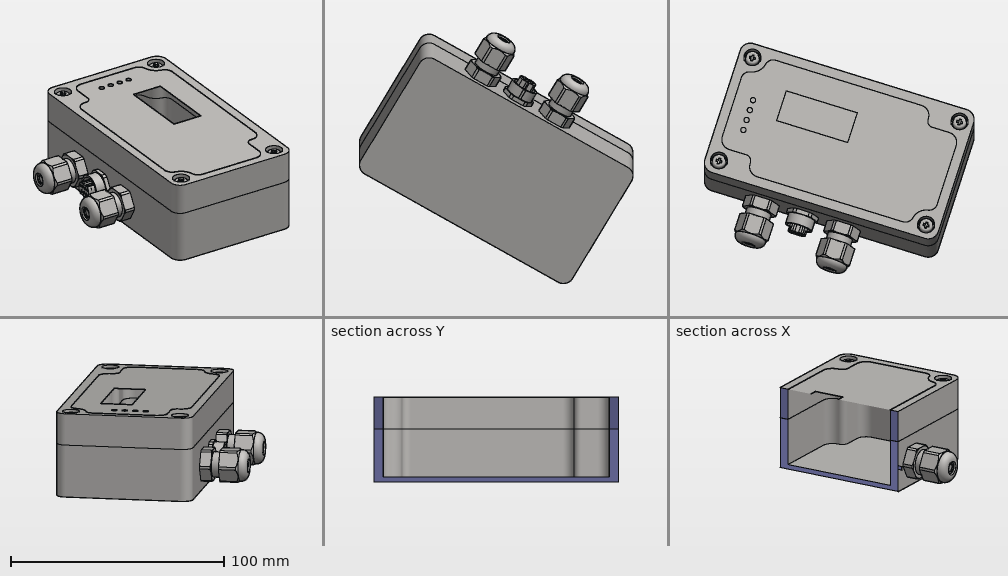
import cadquery as cq
import math

CASE_LENGTH = 115.0
CASE_WIDTH = 65.0
BASE_HEIGHT = 25.0
LID_HEIGHT = 15.0
CASE_HEIGHT = BASE_HEIGHT + LID_HEIGHT
CASE_CORNER_RADIUS = 5.0
FLOOR_THICKNESS = 2.5
WALL = 4.5
FRONT_Y = -CASE_WIDTH / 2

SCREW_X = 51.0
SCREW_Y = 26.0
SCREW_POINTS = [(sx * SCREW_X, sy * SCREW_Y) for sx in (-1, 1) for sy in (-1, 1)]
SCREW_BORE_DIAMETER = 8.0
SCREW_BORE_DEPTH = 5.0
SCREW_HEAD_DIAMETER = 6.5
SCREW_HEAD_HEIGHT = 4.0
SCREW_HEAD_ROUNDING = 1.0
SCREW_SHANK_DIAMETER = 4.0
SCREW_SHANK_LENGTH = 20.0
CROSS_LENGTH = 2.8
CROSS_WIDTH = 0.9
CROSS_DEPTH = 1.2
SCREW_SEAT_Z = CASE_HEIGHT - SCREW_BORE_DEPTH

LABEL_THICKNESS = 0.25
LABEL_HALF_LENGTH = CASE_LENGTH / 2 - WALL
LABEL_HALF_WIDTH = CASE_WIDTH / 2 - WALL
SCREW_CLEARANCE_RADIUS = 7.0
SCREW_SHOULDER_RADIUS = 4.0
NOTCH_X = 36.6
NOTCH_Y = 19.5
NOTCH_INNER_RADIUS = 3.0
NOTCH_OUTER_RADIUS = 5.0

WINDOW_LENGTH = 35.0
WINDOW_WIDTH = 15.0
WINDOW_CENTER = (-13.5, 8.0)
LED_DIAMETER = 2.5
LED_COUNT = 4
LED_PITCH = 5.0
LED_X = -44.5
LED_TOP_Y = 6.5

FITTING_Z = 12.0
CONNECTOR_X = -7.5
GLAND_SPACING = 40.0
GLAND_POSITIONS = [CONNECTOR_X + side * GLAND_SPACING / 2 for side in (-1, 1)]

GLAND_HEX_FLATS = 15.0
GLAND_HEX_BEVEL = 0.75
GLAND_BODY_END = 5.3
GLAND_BODY_TURNED_LENGTH = 0.4
GLAND_BODY_TURNED_DIAMETER = 15.5
GLAND_NECK_DIAMETER = 12.0
GLAND_NUT_START = 9.0
GLAND_LENGTH = 22.0
GLAND_DOME_RADIUS = 3.5
GLAND_NUT_END = 18.2
GLAND_CONE_START_DIAMETER = 17.0
GLAND_NUT_TURNED_LENGTH = 1.2
GLAND_NUT_TURNED_DIAMETER = 14.6
GLAND_MOUTH_DIAMETER = 6.5
GLAND_BORE_DIAMETER = 4.0
GLAND_SEAL_DIAMETER = 5.5
GLAND_MOUTH_DEPTH = 0.7
GLAND_BORE_DEPTH = 1.4

CONNECTOR_HEX_FLATS = 14.0
CONNECTOR_HEX_BEVEL = 1.0
CONNECTOR_HEX_LENGTH = 2.0
CONNECTOR_DIAMETER = 13.0
CONNECTOR_BODY_END = 7.0
CONNECTOR_KEY_WIDTH = 1.2
CONNECTOR_KEY_REACH = 6.9
SOCKET_DIAMETER = 11.0
SOCKET_DEPTH = 4.0
INSERT_DIAMETER = 8.5
INSERT_HEIGHT = 6.0
INSERT_END = 10.0
INSERT_RIB_DIAMETER = 1.2
INSERT_RIB_X = 1.5
INSERT_RIB_RISE = 0.4
INSERT_KEY_WIDTH = 1.5
INSERT_KEY_HEIGHT = 0.75
CONTACT_DIAMETER = 1.2
CONTACT_DEPTH = 2.0
CONTACT_PITCH = 2.0
CONTACT_ROW_Z = 1.35


def label_prism(bottom_z, height):
    """Upright prism with the label's outline, which is also the outline of the case's inside."""
    prism = (
        cq.Workplane(origin=(0, 0, bottom_z))
        .rect(2 * LABEL_HALF_LENGTH, 2 * LABEL_HALF_WIDTH)
        .extrude(height)
    )
    round_corners = [(-SCREW_X, SCREW_Y), (SCREW_X, -SCREW_Y)]
    clearance = (
        cq.Workplane(origin=(0, 0, bottom_z))
        .pushPoints(round_corners)
        .circle(SCREW_CLEARANCE_RADIUS)
        .extrude(height)
    )
    prism = prism.cut(clearance).edges("|Z").fillet(SCREW_SHOULDER_RADIUS)
    notch_size = (2 * (LABEL_HALF_LENGTH - NOTCH_X), 2 * (LABEL_HALF_WIDTH - NOTCH_Y))
    square_corners = [(side * LABEL_HALF_LENGTH, side * LABEL_HALF_WIDTH) for side in (-1, 1)]
    notches = (
        cq.Workplane(origin=(0, 0, bottom_z))
        .pushPoints(square_corners)
        .rect(*notch_size)
        .extrude(height)
    )
    prism = prism.cut(notches)
    middle_z = bottom_z + height / 2
    for side in (-1, 1):
        notch_edges = [
            (NOTCH_X, NOTCH_Y, NOTCH_INNER_RADIUS),
            (NOTCH_X, LABEL_HALF_WIDTH, NOTCH_OUTER_RADIUS),
            (LABEL_HALF_LENGTH, NOTCH_Y, NOTCH_OUTER_RADIUS),
        ]
        for x, y, radius in notch_edges:
            edge = cq.NearestToPointSelector((side * x, side * y, middle_z))
            prism = prism.edges("|Z").edges(edge).fillet(radius)
    return prism


def case_block(bottom_z, height):
    block = cq.Workplane(origin=(0, 0, bottom_z)).rect(CASE_LENGTH, CASE_WIDTH).extrude(height)
    return block.edges("|Z").fillet(CASE_CORNER_RADIUS)


def screw_cylinders(diameter, bottom_z, height):
    circles = cq.Workplane(origin=(0, 0, bottom_z)).pushPoints(SCREW_POINTS).circle(diameter / 2)
    return circles.extrude(height)


def screw_shanks():
    bottom_z = SCREW_SEAT_Z - SCREW_SHANK_LENGTH
    return screw_cylinders(SCREW_SHANK_DIAMETER, bottom_z, SCREW_SHANK_LENGTH)


def make_base():
    base = case_block(0, BASE_HEIGHT)
    base = base.cut(label_prism(FLOOR_THICKNESS, BASE_HEIGHT - FLOOR_THICKNESS))
    return base.cut(screw_shanks())


def make_lid():
    lid = case_block(BASE_HEIGHT, LID_HEIGHT)
    lid = lid.cut(label_prism(BASE_HEIGHT, LID_HEIGHT))
    lid = lid.cut(screw_cylinders(SCREW_BORE_DIAMETER, SCREW_SEAT_Z, SCREW_BORE_DEPTH))
    return lid.cut(screw_shanks())


def make_label():
    bottom_z = CASE_HEIGHT - LABEL_THICKNESS
    label = label_prism(bottom_z, LABEL_THICKNESS)
    window = (
        cq.Workplane(origin=(0, 0, bottom_z))
        .center(*WINDOW_CENTER)
        .rect(WINDOW_LENGTH, WINDOW_WIDTH)
        .extrude(LABEL_THICKNESS)
    )
    led_points = [(LED_X, LED_TOP_Y - i * LED_PITCH) for i in range(LED_COUNT)]
    led_holes = (
        cq.Workplane(origin=(0, 0, bottom_z))
        .pushPoints(led_points)
        .circle(LED_DIAMETER / 2)
        .extrude(LABEL_THICKNESS)
    )
    return label.cut(window).cut(led_holes)


def make_screw(x, y):
    head = (
        cq.Workplane(origin=(x, y, SCREW_SEAT_Z))
        .circle(SCREW_HEAD_DIAMETER / 2)
        .extrude(SCREW_HEAD_HEIGHT)
        .faces(">Z")
        .edges()
        .fillet(SCREW_HEAD_ROUNDING)
    )
    shank = (
        cq.Workplane(origin=(x, y, SCREW_SEAT_Z))
        .circle(SCREW_SHANK_DIAMETER / 2)
        .extrude(-SCREW_SHANK_LENGTH)
    )
    cross_plane = cq.Workplane(origin=(x, y, SCREW_SEAT_Z + SCREW_HEAD_HEIGHT - CROSS_DEPTH))
    slot_x = cross_plane.rect(CROSS_LENGTH, CROSS_WIDTH).extrude(CROSS_DEPTH)
    slot_y = cross_plane.rect(CROSS_WIDTH, CROSS_LENGTH).extrude(CROSS_DEPTH)
    return head.union(shank).cut(slot_x).cut(slot_y)


def fitting_plane(x, distance):
    """Sketch plane parallel to the front wall, facing outward, at a distance from the wall."""
    return cq.Workplane("XZ", origin=(x, FRONT_Y - distance, FITTING_Z))


def fitting_cylinder(x, diameter, start, end):
    return fitting_plane(x, start).circle(diameter / 2).extrude(end - start)


def fitting_hexagon(x, flats, bevel, start, end):
    """Hexagon with flats above and below and bevelled corners."""
    across_corners = flats / math.cos(math.pi / 6)
    hexagon = fitting_plane(x, start).polygon(6, across_corners).extrude(end - start)
    return hexagon.edges("|Y").chamfer(bevel)


def fitting_cone(x, start_diameter, end_diameter, start, end):
    cone = fitting_plane(x, start).circle(start_diameter / 2).workplane(offset=end - start)
    return cone.circle(end_diameter / 2).loft(ruled=True)


def turned_hexagon(x, start, end, turned_diameter, turned_length):
    """Gland hexagon whose outer end is turned down to a cone."""
    shoulder = end - turned_length
    straight = fitting_hexagon(x, GLAND_HEX_FLATS, GLAND_HEX_BEVEL, start, shoulder)
    tip = fitting_hexagon(x, GLAND_HEX_FLATS, GLAND_HEX_BEVEL, shoulder, end)
    cone = fitting_cone(x, GLAND_CONE_START_DIAMETER, turned_diameter, shoulder, end)
    return straight.union(tip.intersect(cone))


def make_gland(x):
    body = turned_hexagon(x, 0, GLAND_BODY_END, GLAND_BODY_TURNED_DIAMETER, GLAND_BODY_TURNED_LENGTH)
    neck = fitting_cylinder(x, GLAND_NECK_DIAMETER, GLAND_BODY_END, GLAND_NUT_START)
    nut = turned_hexagon(
        x, GLAND_NUT_START, GLAND_NUT_END, GLAND_NUT_TURNED_DIAMETER, GLAND_NUT_TURNED_LENGTH
    )
    dome = fitting_cylinder(x, GLAND_HEX_FLATS, GLAND_NUT_END, GLAND_LENGTH)
    dome = dome.faces("<Y").edges().fillet(GLAND_DOME_RADIUS)
    mouth_end = GLAND_LENGTH - GLAND_MOUTH_DEPTH
    mouth = fitting_cone(x, GLAND_SEAL_DIAMETER, GLAND_MOUTH_DIAMETER, mouth_end, GLAND_LENGTH)
    bore = fitting_cylinder(x, GLAND_BORE_DIAMETER, GLAND_LENGTH - GLAND_BORE_DEPTH, GLAND_LENGTH)
    return body.union(neck).union(nut).union(dome).cut(mouth).cut(bore)


def make_connector_insert():
    """Contact carrier: a cylinder with two flats, two ribs above, a key below and seven contact holes."""
    start = CONNECTOR_BODY_END - SOCKET_DEPTH
    length = INSERT_END - start
    plane = fitting_plane(CONNECTOR_X, start)
    insert = plane.circle(INSERT_DIAMETER / 2).extrude(length)
    insert = insert.intersect(plane.rect(INSERT_DIAMETER, INSERT_HEIGHT).extrude(length))
    rib_z = INSERT_HEIGHT / 2 + INSERT_RIB_RISE - INSERT_RIB_DIAMETER / 2
    rib_points = [(side * INSERT_RIB_X, rib_z) for side in (-1, 1)]
    ribs = plane.pushPoints(rib_points).circle(INSERT_RIB_DIAMETER / 2).extrude(length)
    key_base_z = -INSERT_HEIGHT / 2
    key = (
        plane.moveTo(-INSERT_KEY_WIDTH / 2, key_base_z)
        .lineTo(0, key_base_z - INSERT_KEY_HEIGHT)
        .lineTo(INSERT_KEY_WIDTH / 2, key_base_z)
        .close()
        .extrude(length)
    )
    upper_row = [(step * CONTACT_PITCH, CONTACT_ROW_Z) for step in (-1.5, -0.5, 0.5, 1.5)]
    lower_row = [(step * CONTACT_PITCH, -CONTACT_ROW_Z) for step in (-1, 0, 1)]
    contacts = (
        fitting_plane(CONNECTOR_X, INSERT_END - CONTACT_DEPTH)
        .pushPoints(upper_row + lower_row)
        .circle(CONTACT_DIAMETER / 2)
        .extrude(CONTACT_DEPTH)
    )
    return insert.union(ribs).union(key).cut(contacts)


def make_connector():
    flange = fitting_hexagon(
        CONNECTOR_X, CONNECTOR_HEX_FLATS, CONNECTOR_HEX_BEVEL, 0, CONNECTOR_HEX_LENGTH
    )
    sleeve = fitting_cylinder(CONNECTOR_X, CONNECTOR_DIAMETER, 0, CONNECTOR_BODY_END)
    key = (
        fitting_plane(CONNECTOR_X, 0)
        .center(0, -CONNECTOR_KEY_REACH / 2)
        .rect(CONNECTOR_KEY_WIDTH, CONNECTOR_KEY_REACH)
        .extrude(CONNECTOR_BODY_END)
    )
    socket = fitting_cylinder(
        CONNECTOR_X, SOCKET_DIAMETER, CONNECTOR_BODY_END - SOCKET_DEPTH, CONNECTOR_BODY_END
    )
    shell = flange.union(sleeve).union(key).cut(socket)
    return shell.union(make_connector_insert())


base = make_base()
lid = make_lid()
label = make_label()
screws = [make_screw(x, y) for x, y in SCREW_POINTS]
glands = [make_gland(x) for x in GLAND_POSITIONS]
connector = make_connector()

bodies = [base, lid, label, *screws, *glands, connector]
result = cq.Compound.makeCompound([body.val() for body in bodies])